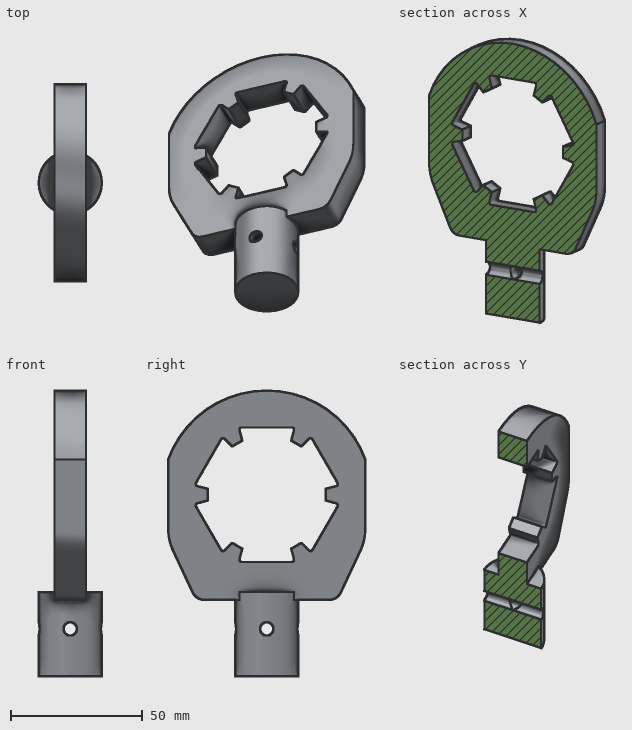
import cadquery as cq
import math

shank_diameter = 24.0
shank_length = 32.0
pin_hole_diameter = 5.0
pin_hole_height = 18.0

plate_thickness = 12.0
plate_width = 75.0
plate_height = 79.6
plate_base_width = 53.7
crown_radius = 39.9
taper_angle = 25.1
taper_blend_radius = 19.5
base_corner_radius = 5.0
seat_depth = 3.0

hexagon_across_flats = 51.0
opening_height_above_base = 40.0
corner_count = 6
tooth_tip_radius = 22.4
tooth_tip_width = 4.5
tooth_flare_angle = 15.0
notch_fillet_radius = 0.8

plate_bottom = shank_length - seat_depth
plate_top = plate_bottom + plate_height
opening_center = plate_bottom + opening_height_above_base
half_width = plate_width / 2
half_base = plate_base_width / 2
half_thickness = plate_thickness / 2
crown_drop = crown_radius - math.sqrt(crown_radius**2 - half_width**2)
shoulder_height = plate_top - crown_drop
taper_rise = (half_width - half_base) / math.tan(math.radians(taper_angle))
taper_start_height = plate_bottom + taper_rise
hexagon_corner_radius = hexagon_across_flats / 2 / math.cos(math.pi / corner_count)


def round_edges(body, points, radius):
    """Fillet the edges parallel to X that pass through the given (Y, Z) points."""
    edges = [
        body.edges("|X").edges(cq.selectors.NearestToPointSelector((0, y, z))).val()
        for y, z in points
    ]
    return body.newObject(edges).fillet(radius)


def make_plate():
    """Solid plate with an arched crown, straight sides and a tapered, rounded base."""
    plate = (
        cq.Workplane("YZ", origin=(-half_thickness, 0, 0))
        .moveTo(-half_base, plate_bottom)
        .lineTo(half_base, plate_bottom)
        .lineTo(half_width, taper_start_height)
        .lineTo(half_width, shoulder_height)
        .radiusArc((0, plate_top), -crown_radius)
        .radiusArc((-half_width, shoulder_height), -crown_radius)
        .lineTo(-half_width, taper_start_height)
        .close()
        .extrude(plate_thickness)
    )

    taper_corners = [(-half_width, taper_start_height), (half_width, taper_start_height)]
    base_corners = [(-half_base, plate_bottom), (half_base, plate_bottom)]
    plate = round_edges(plate, taper_corners, taper_blend_radius)
    return round_edges(plate, base_corners, base_corner_radius)


def opening_outline():
    """Points (Y, Z) around the opening axis: four per tooth, from notch to tip to notch."""
    half_tip = tooth_tip_width / 2
    flare_slope = math.tan(math.radians(tooth_flare_angle))
    flat_slope = math.tan(math.pi / 2 - math.pi / corner_count)
    slope_sum = flat_slope + flare_slope
    slope_reach = hexagon_corner_radius * flat_slope + tooth_tip_radius * flare_slope
    notch_reach = (slope_reach - half_tip) / slope_sum
    notch_offset = half_tip + (notch_reach - tooth_tip_radius) * flare_slope
    tooth = [
        (notch_reach, -notch_offset),
        (tooth_tip_radius, -half_tip),
        (tooth_tip_radius, half_tip),
        (notch_reach, notch_offset),
    ]
    outline = []
    for index in range(corner_count):
        angle = 2 * math.pi * index / corner_count
        for reach, offset in tooth:
            y = reach * math.cos(angle) - offset * math.sin(angle)
            z = reach * math.sin(angle) + offset * math.cos(angle)
            outline.append((y, z))
    return outline


def make_opening():
    """Prism filling the toothed hexagonal opening, with its notch bottoms rounded."""
    outline = opening_outline()
    points_per_tooth = len(outline) // corner_count
    prism = (
        cq.Workplane("YZ", origin=(-half_thickness, 0, opening_center))
        .polyline(outline)
        .close()
        .extrude(plate_thickness)
    )
    notch_points = outline[0::points_per_tooth] + outline[points_per_tooth - 1 :: points_per_tooth]
    notch_bottoms = [(y, z + opening_center) for y, z in notch_points]
    return round_edges(prism, notch_bottoms, notch_fillet_radius)


def make_shank():
    """Solid round shank carrying the plate."""
    return cq.Workplane("XY").circle(shank_diameter / 2).extrude(shank_length)


def make_pin_holes():
    """Two crossing through holes, one along X and one along Y."""
    along_x = cq.Workplane("YZ", origin=(0, 0, pin_hole_height)).circle(pin_hole_diameter / 2)
    along_y = cq.Workplane("XZ", origin=(0, 0, pin_hole_height)).circle(pin_hole_diameter / 2)
    holes_x = along_x.extrude(shank_diameter, both=True)
    return holes_x.union(along_y.extrude(shank_diameter, both=True))


result = make_plate().cut(make_opening()).union(make_shank()).cut(make_pin_holes())